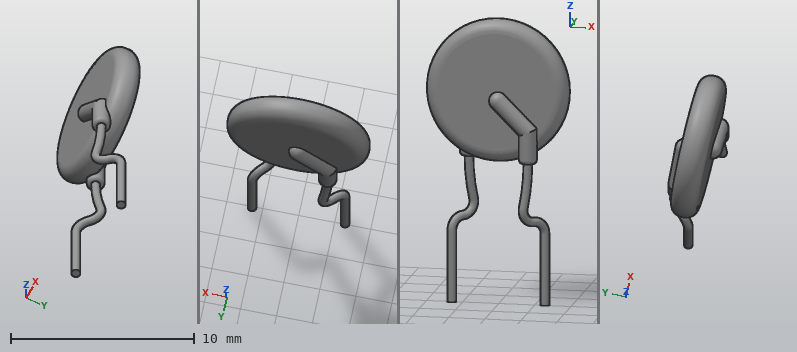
import cadquery as cq
import math

disc_diameter = 7.9
disc_thickness = 1.5
disc_edge_radius = 0.7

overall_depth = 2.5
bulge_radius = (overall_depth - disc_thickness) / 2
bulge_x = 1.78
bulge_tip_z = -0.48
bulge_bottom_z = -3.9
bulge_bottom_fillet = 0.24
bulge_run = 1.65

overall_height = 15.86
wire_diameter = 0.49
lead_shift = 1.13
lead_top_z = -7.93
lead_bottom_z = disc_diameter / 2 - overall_height
lower_bend_radius = 0.75
upper_bend_radius = 0.7

face_y = disc_thickness / 2


def make_disc():
    """Flat disc with both rims rounded, leaving a narrow band around the edge."""
    return (
        cq.Workplane("XZ")
        .circle(disc_diameter / 2)
        .extrude(face_y, both=True)
        .edges()
        .fillet(disc_edge_radius)
    )


def make_bulge():
    """Vertical sleeve mitred into a 45 degree arm that ends in a ball, on the -Y face."""
    bottom = (bulge_x, bulge_bottom_z)
    elbow = (bulge_x, bulge_tip_z - bulge_run)
    tip = (bulge_x - bulge_run, bulge_tip_z)
    path = cq.Workplane("XZ", origin=(0, -face_y, 0)).polyline([bottom, elbow, tip])
    arm = (
        cq.Workplane("XY", origin=(bulge_x, -face_y, bulge_bottom_z))
        .circle(bulge_radius)
        .sweep(path, transition="right")
        .faces("<Z")
        .edges()
        .fillet(bulge_bottom_fillet)
    )
    ball = cq.Workplane("XY", origin=(tip[0], -face_y, tip[1])).sphere(bulge_radius)
    return arm.union(ball)


def make_lead():
    """Wire that leans inward, swings out through two bends and drops straight down."""
    bend_x = lead_shift - lower_bend_radius
    joint_z = lead_top_z + lower_bend_radius
    bend_z = joint_z + upper_bend_radius

    drop = bulge_bottom_z - bend_z
    lean_radius = (bend_x**2 + drop**2 - upper_bend_radius**2) / (2 * (upper_bend_radius - bend_x))
    lean_angle = math.asin(drop / (lean_radius + upper_bend_radius))
    lean_end = (
        bend_x - upper_bend_radius * math.cos(lean_angle),
        bend_z + upper_bend_radius * math.sin(lean_angle),
    )

    start_z = bulge_bottom_z + bulge_bottom_fillet
    bend_plane = cq.Plane(origin=(bulge_x, -face_y, 0), xDir=(1, 1, 0), normal=(1, -1, 0))
    path = (
        cq.Workplane(bend_plane)
        .moveTo(0, start_z)
        .lineTo(0, bulge_bottom_z)
        .tangentArcPoint(lean_end, relative=False)
        .tangentArcPoint((bend_x, joint_z), relative=False)
        .tangentArcPoint((lead_shift, lead_top_z), relative=False)
        .lineTo(lead_shift, lead_bottom_z)
    )
    return cq.Workplane("XY", origin=(bulge_x, -face_y, start_z)).circle(wire_diameter / 2).sweep(path)


terminal = make_bulge().union(make_lead())
result = make_disc()
for turn in (0, 180):
    result = result.union(terminal.rotate((0, 0, 0), (0, 0, 1), turn))